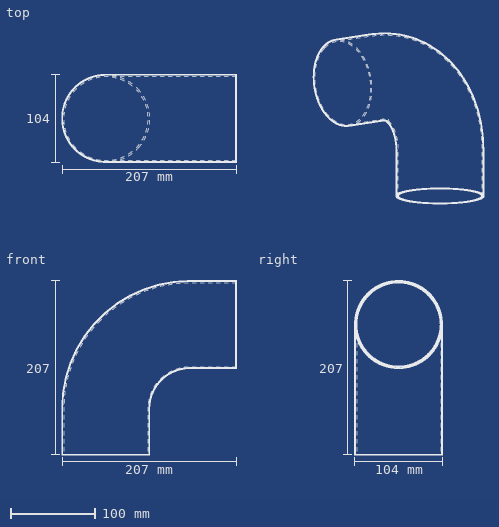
import cadquery as cq

overall_size = 207.0
outer_diameter = 104.0
bore_diameter = 100.0
bend_radius = 100.0
bend_angle = 90.0

straight_length = overall_size - outer_diameter / 2 - bend_radius


def elbow(diameter):
    """Solid round elbow: vertical leg, quarter bend towards +X, horizontal leg."""
    radius = diameter / 2
    vertical_leg = cq.Workplane("XY").circle(radius).extrude(straight_length)
    bend = (
        cq.Workplane("XY", origin=(0, 0, straight_length))
        .circle(radius)
        .revolve(bend_angle, (bend_radius, 0, 0), (bend_radius, 1, 0))
    )
    horizontal_leg = (
        cq.Workplane("YZ", origin=(bend_radius, 0, straight_length + bend_radius))
        .circle(radius)
        .extrude(straight_length)
    )
    return vertical_leg.union(bend).union(horizontal_leg)


result = elbow(outer_diameter).cut(elbow(bore_diameter))